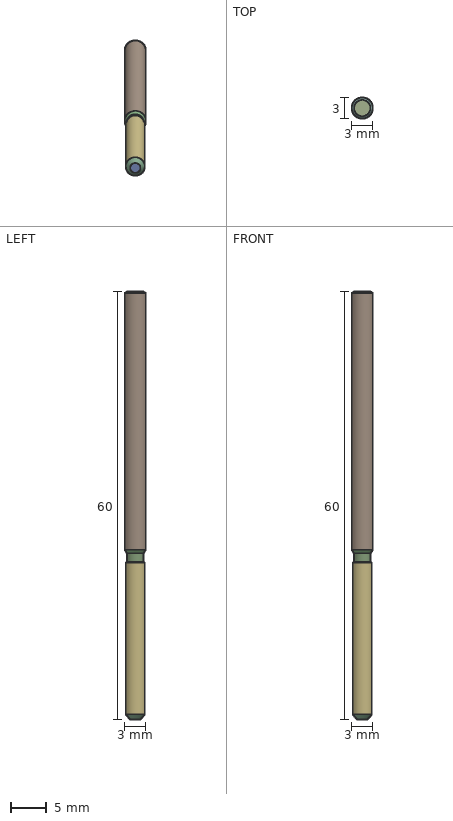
import cadquery as cq

total_length = 60.0
barrel_bottom = 23.3
plunger_shoulder = 21.95

barrel_radius = 1.5
top_chamfer_width = 0.35
top_chamfer_height = 0.25
barrel_end_taper = 0.55

plunger_diameter = 2.7
plunger_radius = plunger_diameter / 2
neck_diameter = 2.35
neck_radius = neck_diameter / 2
shoulder_chamfer = 0.2
tip_radius = 0.7
tip_height = 0.7


def revolve_profile(points):
    """Revolve a closed (radius, z) outline about the Z axis."""
    return cq.Workplane("XZ").polyline(points).close().revolve(360, (0, 0, 0), (0, 1, 0))


def make_barrel():
    """Upper rod: chamfered top and a lower end tapering to the neck."""
    return revolve_profile([
        (0, barrel_bottom),
        (neck_radius, barrel_bottom),
        (barrel_radius, barrel_bottom + barrel_end_taper),
        (barrel_radius, total_length - top_chamfer_height),
        (barrel_radius - top_chamfer_width, total_length),
        (0, total_length),
    ])


def make_plunger():
    """Lower rod: conical tip, chamfered shoulder and a neck meeting the barrel."""
    return revolve_profile([
        (0, 0),
        (tip_radius, 0),
        (plunger_radius, tip_height),
        (plunger_radius, plunger_shoulder),
        (neck_radius, plunger_shoulder + shoulder_chamfer),
        (neck_radius, barrel_bottom),
        (0, barrel_bottom),
    ])


barrel = make_barrel()
plunger = make_plunger()
result = cq.Compound.makeCompound([barrel.val(), plunger.val()])